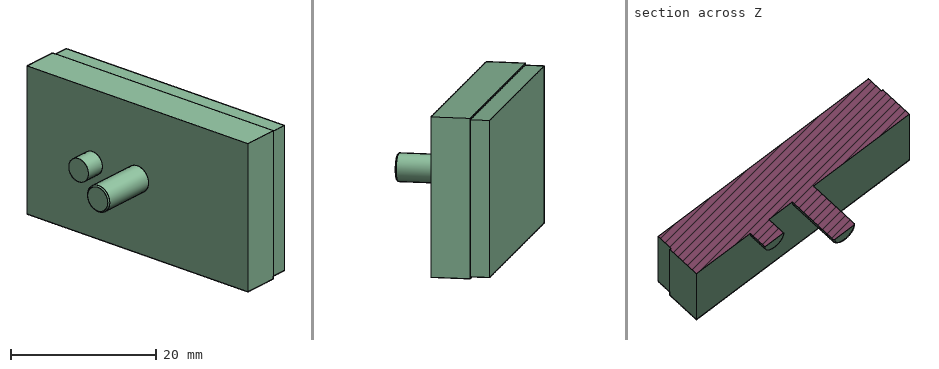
import cadquery as cq

plate_length = 39.5
plate_height = 22.5
plate_thickness = 5.5

back_inset = 0.25
back_thickness = 2.7

long_pin_diameter = 4.0
long_pin_length = 8.55
long_pin_chamfer = 0.2
short_pin_diameter = 3.5
short_pin_length = 3.0
pin_spacing = 8.0


def pin(x, diameter, length):
    """Round pin rising from the front face (y = 0) toward -Y."""
    return cq.Workplane("XZ").center(x, 0).circle(diameter / 2).extrude(length)


front_plate = cq.Workplane("XZ").rect(plate_length, plate_height).extrude(-plate_thickness)

back_plate = (
    cq.Workplane("XZ", origin=(0, plate_thickness, 0))
    .rect(plate_length - 2 * back_inset, plate_height - 2 * back_inset)
    .extrude(-back_thickness)
)

long_pin = pin(0, long_pin_diameter, long_pin_length).faces("<Y").chamfer(long_pin_chamfer)
short_pin = pin(-pin_spacing, short_pin_diameter, short_pin_length)

result = front_plate.union(back_plate).union(long_pin).union(short_pin)